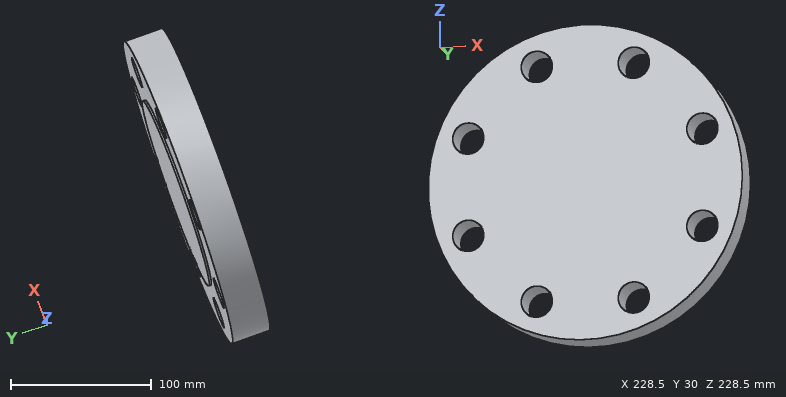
import cadquery as cq

flange_diameter = 228.5
total_thickness = 30.0
face_diameter = 139.7
face_height = 1.5
flange_thickness = total_thickness - face_height

bolt_count = 8
bolt_hole_diameter = 22.5
bolt_circle_diameter = 184.3
first_bolt_angle = 180 / bolt_count


def disc(diameter, thickness, start_y):
    """Solid disc about the Y axis, growing toward +Y from start_y."""
    plane = cq.Workplane("XZ", origin=(0, start_y, 0))
    return plane.circle(diameter / 2).extrude(-thickness)


def bolt_holes():
    """Cutters for the ring of through holes."""
    return (
        cq.Workplane("XZ")
        .polarArray(bolt_circle_diameter / 2, first_bolt_angle, 360, bolt_count)
        .circle(bolt_hole_diameter / 2)
        .extrude(-flange_thickness)
    )


flange = disc(flange_diameter, flange_thickness, 0)
raised_face = disc(face_diameter, face_height, flange_thickness)

result = flange.union(raised_face).cut(bolt_holes())